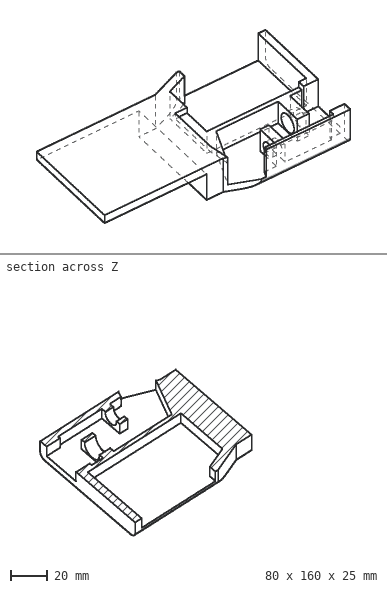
import cadquery as cq


width = 80.0
length = 160.0
height = 25.0
tongue_inset = 8.0
taper_start = 60.0
taper_length = 20.0
body_length = 91.2
tongue_thickness = 6.0
bottom_round = 4.0

floor = 5.0
back_wall = 5.0
post_front_edge = 10.0
lid_depth = 4.0
ledge = height - lid_depth

left_bay_right = 45.3
left_bay_front = 72.0
side_wall_start = 58.0
side_wall = 5.0
left_bay_corner = 10.5

divider = 2.9
right_bay_left = left_bay_right + divider
right_bay_right = 76.0
right_bay_corner = 67.7
right_wall_end = 55.2
lid_left = 26.7
lid_right = 78.0
lid_front = 80.0
lid_bend = 59.8
back_opening_left = 49.8
back_opening_right = 74.4

rear_block_length = 18.0
rear_block_back = 18.0
rear_block_thickness = 8.0
front_block_length = 15.0
front_block_back = 41.3
front_block_thickness = 6.0
bore_z = 11.5
rear_bore_x = right_bay_left + rear_block_length / 2
front_bore_x = right_bay_right - front_block_length / 2
rear_bore = 12.2
front_bore = 9.1

end_slope = tongue_inset / taper_length


def prism(points, bottom, top):
    """Vertical prism; each point is (distance from left, distance from back)."""
    outline = [(x, -distance) for x, distance in points]
    return cq.Workplane("XY").workplane(offset=bottom).polyline(outline).close().extrude(top - bottom)


def block(left, right, back, front, bottom, top):
    return prism([(left, back), (right, back), (right, front), (left, front)], bottom, top)


def taper_edge_point(start_x, start_distance):
    """Where a slanted end starting at the given point meets the right-hand taper."""
    run = width - start_x + end_slope * (taper_start - start_distance)
    run /= 1 + end_slope**2
    return start_x + run, start_distance + end_slope * run


def make_body():
    taper_end = taper_start + taper_length
    outline = [
        (0, 0), (width, 0), (width, taper_start),
        (width - tongue_inset, taper_end), (width - tongue_inset, length),
        (tongue_inset, length), (tongue_inset, taper_end), (0, taper_start),
    ]
    rounded_bar = block(0, width, 0, length, 0, height).edges("|Y and <Z").fillet(bottom_round)
    under_tongue = block(0, width, body_length, length, 0, height - tongue_thickness)
    return prism(outline, 0, height).intersect(rounded_bar).cut(under_tongue)


def left_bay():
    outline = [
        (0, back_wall), (left_bay_right, back_wall), (left_bay_right, left_bay_front),
        (left_bay_corner, left_bay_front), (side_wall, side_wall_start), (0, side_wall_start),
    ]
    return prism(outline, floor, height)


wall_end_at_side = right_wall_end + end_slope * (width - right_bay_right)
bay_tip = taper_edge_point(right_bay_left, right_bay_corner)


def right_bay():
    outline = [
        (right_bay_left, post_front_edge), (right_bay_right, post_front_edge),
        (right_bay_right, right_wall_end), (width, wall_end_at_side),
        (width, bay_tip[1]), bay_tip, (right_bay_left, right_bay_corner),
    ]
    opening = block(back_opening_left, back_opening_right, 0, post_front_edge, floor, height)
    return prism(outline, floor, height).union(opening)


def lid_recess():
    lip_end = right_wall_end + end_slope * (lid_right - right_bay_right)
    outline = [
        (lid_left, post_front_edge), (lid_right, post_front_edge),
        (lid_right, lip_end), (width, wall_end_at_side), (width, bay_tip[1]), bay_tip,
        (lid_bend, lid_front), (lid_left, lid_front),
    ]
    return prism(outline, ledge, height)


def bored_block(left, right, back, thickness, bore_x, bore):
    front = back + thickness
    hole = cq.Workplane("XZ", origin=(bore_x, -back, bore_z)).circle(bore / 2).extrude(thickness)
    return block(left, right, back, front, floor, ledge).cut(hole)


rear_block = bored_block(
    right_bay_left, right_bay_left + rear_block_length, rear_block_back, rear_block_thickness,
    rear_bore_x, rear_bore,
)
front_block = bored_block(
    right_bay_right - front_block_length, right_bay_right, front_block_back, front_block_thickness,
    front_bore_x, front_bore,
)

result = make_body().cut(left_bay()).cut(right_bay()).cut(lid_recess())
result = result.union(rear_block).union(front_block)